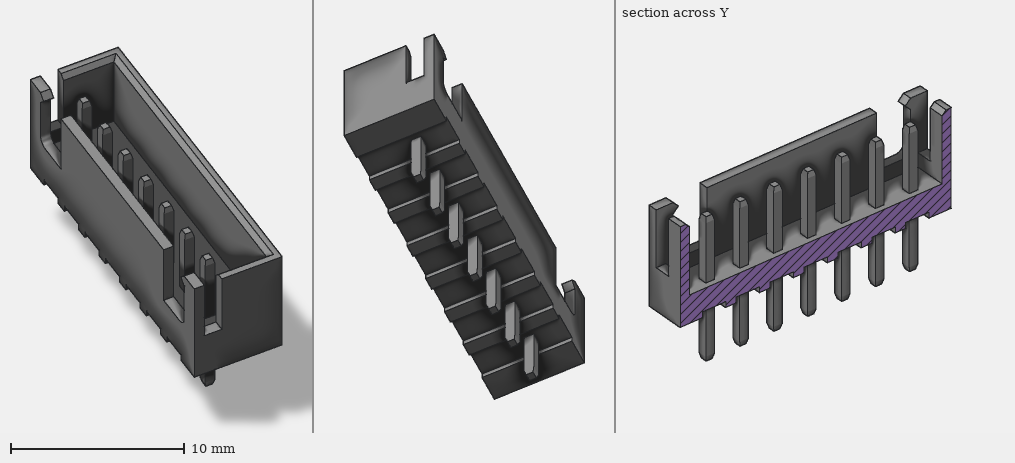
import cadquery as cq


pin_count = 7
pin_pitch = 2.5
pin_side = 0.65
pin_y = 2.2
pin_tip_length = 0.38
pin_tip_inset = 0.1
pin_tail = 3.5
pin_top_recess = 0.5

end_margin = 2.5
body_length = (pin_count - 1) * pin_pitch + 2 * end_margin
body_depth = 5.75
body_height = 7.0
wall = 0.65
end_wall = 0.7
floor_top = 2.0
rim_chamfer = 0.3

opening_depth = 4.0
opening_bottom = body_height - opening_depth
window_outer = 1.25
window_inner = 3.75
window_radius = 0.6
barb = 0.4
slot_back = 1.8

foot_height = 0.4
notch_width = 1.7

pin_xs = [(i - (pin_count - 1) / 2) * pin_pitch for i in range(pin_count)]


def box(x_size, y_min, y_max, z_min, z_max, x_center=0):
    """Box centred on x_center in X, with given Y and Z limits."""
    return cq.Workplane("XY").box(
        x_size, y_max - y_min, z_max - z_min, centered=(True, False, False)
    ).translate((x_center, y_min, z_min))


def make_cavity():
    """Inner space, flared at the rim on the back and end walls behind the slots."""
    inner_length = body_length - 2 * end_wall
    inner_back = body_depth - wall
    cavity = box(inner_length, wall, inner_back, floor_top, body_height)
    flare_depth = inner_back - slot_back
    flare = (
        cq.Workplane("XY", origin=(0, 0, body_height - rim_chamfer))
        .center(0, slot_back + flare_depth / 2)
        .rect(inner_length, flare_depth)
        .workplane(offset=rim_chamfer)
        .center(0, rim_chamfer / 2)
        .rect(inner_length + 2 * rim_chamfer, flare_depth + rim_chamfer)
        .loft(ruled=True)
    )
    return cavity.union(flare)


def make_left_window():
    """Latch window at the -X end of the front wall, with a barb near its top."""
    end = -body_length / 2
    outer = end + window_outer
    inner = end + window_inner
    profile = (
        cq.Workplane("XZ")
        .moveTo(inner, body_height)
        .lineTo(outer, body_height)
        .lineTo(outer + barb, body_height - barb)
        .lineTo(outer, body_height - 2 * barb)
        .lineTo(outer, opening_bottom + window_radius)
        .radiusArc((outer + window_radius, opening_bottom), -window_radius)
        .lineTo(inner, opening_bottom)
        .close()
    )
    return profile.extrude(-wall)


def make_pin(x):
    """Square pin with a tapered tip at both ends."""
    shank_bottom = pin_tip_length - pin_tail
    shank_top = body_height - pin_top_recess - pin_tip_length
    pin = box(pin_side, -pin_side / 2, pin_side / 2, shank_bottom, shank_top)
    tip_side = pin_side - 2 * pin_tip_inset
    for z, direction in ((shank_top, 1), (shank_bottom, -1)):
        tip = (
            cq.Workplane("XY", origin=(0, 0, z))
            .rect(pin_side, pin_side)
            .workplane(offset=direction * pin_tip_length)
            .rect(tip_side, tip_side)
            .loft(ruled=True)
        )
        pin = pin.union(tip)
    return pin.translate((x, pin_y, 0))


housing = box(body_length, 0, body_depth, 0, body_height).cut(make_cavity())

left_window = make_left_window()
housing = housing.cut(left_window).cut(left_window.mirror("YZ"))

housing = housing.cut(box(body_length, wall, slot_back, opening_bottom, body_height))

for x in pin_xs:
    housing = housing.cut(box(notch_width, 0, body_depth, 0, foot_height, x))

result = housing
for x in pin_xs:
    result = result.union(make_pin(x))